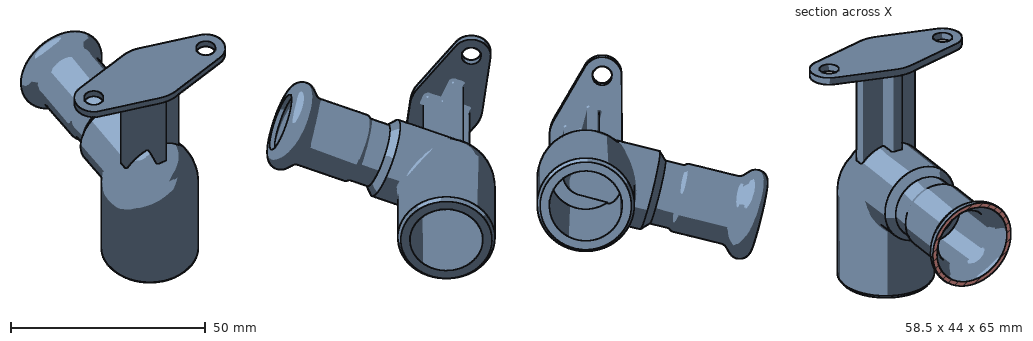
import cadquery as cq
import math

total_height = 65.0
total_length = 58.5
tube_axis_z = 29.0

socket_radius = 25.0 / 2
mouth_x = socket_radius - total_length
dome_center_z = 25.1
bottom_chamfer_height = 1.05
bottom_chamfer_width = 0.8
socket_bore_radius = 9.35
bore_roof_rise = 0.4

elbow_radius = 20.8 / 2
tube_radius = 18.0 / 2
neck_radius = 16.8 / 2
passage_radius = 5.9
elbow_shoulder_x = -17.0
step_start_x = -25.2
step_bend_radius = 0.85
step_angle = 37.0
insertion_stop_x = -24.5
crotch_fillet = 1.0

wall = 1.35
mouth_radius = 7.5
bead_radius = 3.0
bead_center_r = 8.8
bead_blend_radius = 2.1

post_length_x = 12.0
post_length_y = 16.25
rib_thickness = 3.2
rib_edge_fillet = 0.65
rib_root_fillet = 0.45
post_top_fillet = 1.0
post_base_z = 35.1

flange_thickness = 2.0
flange_middle_radius = 9.35
flange_end_radius = 5.0
flange_length = 43.95
hole_diameter = 5.0
hole_offset = flange_length / 2 - flange_end_radius
flange_bottom_z = total_height - flange_thickness

selection_margin = 0.05

diagonal = math.sqrt(0.5)
bead_center_x = mouth_x + bead_radius
blend_center_r = tube_radius + bead_blend_radius
bead_to_blend = (bead_radius + bead_blend_radius) / diagonal
blend_center_x = bead_center_x + bead_to_blend - (blend_center_r - bead_center_r)


def edges_inside(low, high):
    """Selector for the edges that lie wholly within a box, grown by a small margin."""
    low = [value - selection_margin for value in low]
    high = [value + selection_margin for value in high]
    return cq.selectors.BoxSelector(low, high, boundingbox=True)


def bead_point(radius, angle):
    """Point on a circle about the bead centre; angle in degrees from +X."""
    a = math.radians(angle)
    return (bead_center_x + radius * math.cos(a), bead_center_r + radius * math.sin(a))


def blend_point(radius, angle):
    """Point on a circle about the centre of the bead-to-tube blend."""
    a = math.radians(angle)
    return (blend_center_x + radius * math.cos(a), blend_center_r + radius * math.sin(a))


def follow_bead(profile, offset):
    """Trace the bead, its 45 degree flank and the blend, set inward by offset."""
    arc = bead_radius - offset
    blend = bead_blend_radius + offset
    return (
        profile.lineTo(*bead_point(arc, 180))
        .threePointArc(bead_point(arc, 112.5), bead_point(arc, 45))
        .lineTo(*blend_point(blend, 225))
        .threePointArc(blend_point(blend, 247.5), blend_point(blend, 270))
    )


def follow_step(profile):
    """Trace the smooth S-shaped step from the tube radius down to the neck radius."""
    a = math.radians(step_angle)
    bend_run = step_bend_radius * math.sin(a)
    bend_drop = step_bend_radius * (1 - math.cos(a))
    half_run = step_bend_radius * math.sin(a / 2)
    half_drop = step_bend_radius * (1 - math.cos(a / 2))
    slope_run = (tube_radius - neck_radius - 2 * bend_drop) / math.tan(a)
    end_x = step_start_x + 2 * bend_run + slope_run
    return (
        profile.lineTo(step_start_x, tube_radius)
        .threePointArc(
            (step_start_x + half_run, tube_radius - half_drop),
            (step_start_x + bend_run, tube_radius - bend_drop),
        )
        .lineTo(end_x - bend_run, neck_radius + bend_drop)
        .threePointArc((end_x - half_run, neck_radius + half_drop), (end_x, neck_radius))
    )


def revolve_about_tube_axis(profile):
    solid = profile.close().revolve(360, (0, 0, 0), (1, 0, 0))
    return solid.translate((0, 0, tube_axis_z))


def tube_body():
    profile = follow_bead(cq.Workplane("XZ").moveTo(mouth_x, 0), 0)
    profile = follow_step(profile)
    profile = (
        profile.lineTo(elbow_shoulder_x - (elbow_radius - neck_radius), neck_radius)
        .lineTo(elbow_shoulder_x, elbow_radius)
        .lineTo(0, elbow_radius)
        .threePointArc((elbow_radius * diagonal, elbow_radius * diagonal), (elbow_radius, 0))
    )
    return revolve_about_tube_axis(profile)


def tube_cavity():
    """Seal groove, insertion socket and ball-ended passage."""
    lip_back_x = mouth_x + wall
    profile = cq.Workplane("XZ").moveTo(mouth_x, 0).lineTo(mouth_x, mouth_radius)
    profile = follow_bead(profile.lineTo(lip_back_x, mouth_radius), wall)
    profile = (
        profile.lineTo(insertion_stop_x, tube_radius - wall)
        .lineTo(insertion_stop_x, passage_radius)
        .lineTo(0, passage_radius)
        .threePointArc((passage_radius * diagonal, passage_radius * diagonal), (passage_radius, 0))
    )
    return revolve_about_tube_axis(profile)


def socket_body():
    return (
        cq.Workplane("XZ")
        .lineTo(socket_radius - bottom_chamfer_width, 0)
        .lineTo(socket_radius, bottom_chamfer_height)
        .lineTo(socket_radius, dome_center_z)
        .threePointArc(
            (socket_radius * diagonal, dome_center_z + socket_radius * diagonal),
            (0, dome_center_z + socket_radius),
        )
        .close()
        .revolve(360, (0, 0, 0), (0, 1, 0))
    )


def socket_cavity():
    """Bore from below with a shallow conical roof that meets the passage."""
    return (
        cq.Workplane("XZ")
        .lineTo(socket_bore_radius, 0)
        .lineTo(socket_bore_radius, tube_axis_z)
        .lineTo(passage_radius, tube_axis_z + bore_roof_rise)
        .lineTo(0, tube_axis_z + bore_roof_rise)
        .close()
        .revolve(360, (0, 0, 0), (0, 1, 0))
    )


def flange():
    tilt = math.asin((flange_middle_radius - flange_end_radius) / hole_offset)

    def tangent_point(radius, center_y, side_x, side_y):
        x = side_x * radius * math.cos(tilt)
        return (x, side_y * (center_y + radius * math.sin(tilt)))

    outline = cq.Workplane("XY", origin=(0, 0, flange_bottom_z))
    outline = outline.moveTo(*tangent_point(flange_middle_radius, 0, 1, -1))
    for side in (1, -1):
        outline = (
            outline.threePointArc(
                (side * flange_middle_radius, 0),
                tangent_point(flange_middle_radius, 0, side, side),
            )
            .lineTo(*tangent_point(flange_end_radius, hole_offset, side, side))
            .threePointArc(
                (0, side * flange_length / 2),
                tangent_point(flange_end_radius, hole_offset, -side, side),
            )
            .lineTo(*tangent_point(flange_middle_radius, 0, -side, side))
        )
    plate = outline.close().extrude(flange_thickness)
    holes = (
        cq.Workplane("XY", origin=(0, 0, flange_bottom_z))
        .pushPoints([(0, hole_offset), (0, -hole_offset)])
        .circle(hole_diameter / 2)
        .extrude(flange_thickness)
    )
    return plate.cut(holes)


def post():
    height = flange_bottom_z - post_base_z
    base = cq.Workplane("XY", origin=(0, 0, post_base_z))
    rib_x = base.rect(post_length_x, rib_thickness).extrude(height)
    rib_y = base.rect(rib_thickness, post_length_y).extrude(height)
    root_box = cq.selectors.BoxSelector(
        (-rib_thickness, -rib_thickness, post_base_z),
        (rib_thickness, rib_thickness, flange_bottom_z),
    )
    cross = rib_x.union(rib_y)
    cross = cross.edges("|Z").edges(root_box).fillet(rib_root_fillet)
    for end_faces in ("<X or >X", "<Y or >Y"):
        cross = cross.faces(end_faces).edges("|Z").fillet(rib_edge_fillet)
    return cross


def bracket():
    """Flange on its post, with a fillet around the joint."""
    joined = post().union(flange())
    half_x = post_length_x / 2
    half_y = post_length_y / 2
    joint_box = edges_inside((-half_x, -half_y, flange_bottom_z), (half_x, half_y, flange_bottom_z))
    return joined.edges(joint_box).fillet(post_top_fillet)


def elbow():
    """Socket and tube joined, with a fillet along the seam between them."""
    joined = socket_body().union(tube_body())
    seam_height = (elbow_radius**2 - socket_radius**2 + dome_center_z**2 - tube_axis_z**2) / (
        2 * (dome_center_z - tube_axis_z)
    )
    seam_box = edges_inside(
        (-socket_radius, -elbow_radius, tube_axis_z - elbow_radius),
        (socket_radius, elbow_radius, seam_height),
    )
    return joined.edges(seam_box).fillet(crotch_fillet)


body = elbow().union(bracket())
result = body.cut(socket_cavity()).cut(tube_cavity())